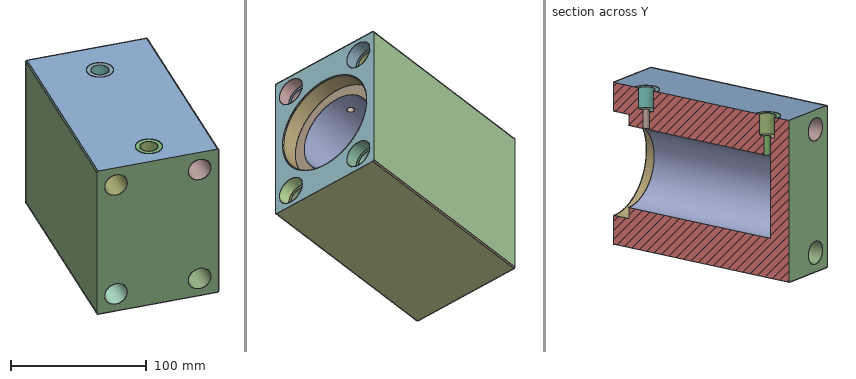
import cadquery as cq

LENGTH = 161.0
WIDTH = 95.0
HEIGHT = 125.0
EDGE_CHAMFER = 1.0

BORE_DIAMETER = 63.0
MOUTH_DIAMETER = 80.0
MOUTH_DEPTH = 14.0
MOUTH_CHAMFER = 0.6

BOLT_SPACING_Y = 65.0
BOLT_SPACING_Z = 95.0
BOLT_DIAMETER = 17.5
BOLT_HEAD_DIAMETER = 22.0
BOLT_HEAD_DEPTH = 10.5

FIRST_PORT_FROM_ENTRY = 30.0
PORT_SPACING = 111.0
SPOTFACE_DIAMETER = 20.0
SPOTFACE_DEPTH = 0.2
PORT_DIAMETER = 13.4
PORT_DEPTH = 16.1
FEED_DIAMETER = 5.5

ENTRY_X = -LENGTH / 2
TOP_Z = HEIGHT / 2
FIRST_PORT_X = ENTRY_X + FIRST_PORT_FROM_ENTRY
PORT_XS = [FIRST_PORT_X, FIRST_PORT_X + PORT_SPACING]
BORE_DEPTH = FIRST_PORT_FROM_ENTRY + PORT_SPACING + FEED_DIAMETER / 2


def entry_cylinders(points, diameter, depth):
    """Cylinders at (y, z) points, running from the -X face into the block."""
    plane = cq.Workplane("YZ", origin=(ENTRY_X, 0, 0))
    return plane.pushPoints(points).circle(diameter / 2).extrude(depth)


def port_cylinders(diameter, depth):
    """Cylinders at both ports, running from the top face down into the block."""
    plane = cq.Workplane("XY", origin=(0, 0, TOP_Z))
    return plane.pushPoints([(x, 0) for x in PORT_XS]).circle(diameter / 2).extrude(-depth)


def make_block():
    return cq.Workplane("XY").box(LENGTH, WIDTH, HEIGHT).edges("|X").chamfer(EDGE_CHAMFER)


def make_bore():
    centre = [(0, 0)]
    mouth = entry_cylinders(centre, MOUTH_DIAMETER, MOUTH_DEPTH)
    mouth_radius = MOUTH_DIAMETER / 2
    lead_in = cq.Workplane(
        cq.Solid.makeCone(
            mouth_radius + MOUTH_CHAMFER,
            mouth_radius,
            MOUTH_CHAMFER,
            pnt=cq.Vector(ENTRY_X, 0, 0),
            dir=cq.Vector(1, 0, 0),
        )
    )
    return entry_cylinders(centre, BORE_DIAMETER, BORE_DEPTH).union(mouth).union(lead_in)


def make_bolt_holes():
    points = [(y * BOLT_SPACING_Y / 2, z * BOLT_SPACING_Z / 2) for y in (-1, 1) for z in (-1, 1)]
    shanks = entry_cylinders(points, BOLT_DIAMETER, LENGTH)
    heads = entry_cylinders(points, BOLT_HEAD_DIAMETER, BOLT_HEAD_DEPTH)
    return shanks.union(heads)


def make_ports():
    spotfaces = port_cylinders(SPOTFACE_DIAMETER, SPOTFACE_DEPTH)
    threads = port_cylinders(PORT_DIAMETER, PORT_DEPTH)
    feeds = port_cylinders(FEED_DIAMETER, TOP_Z)
    return spotfaces.union(threads).union(feeds)


result = make_block().cut(make_bore()).cut(make_bolt_holes()).cut(make_ports())